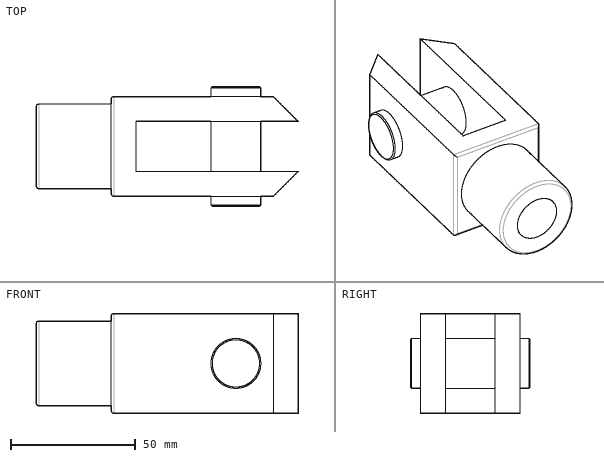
import cadquery as cq

length = 105.0
body_width = 40.0
neck_length = 30.0
neck_diameter = 34.0
bore_diameter = 18.5
slot_width = body_width / 2
slot_start = body_width
pin_diameter = body_width / 2
pin_length = 48.0
pin_x = 2 * body_width
edge_radius = 1.0
pin_chamfer = 0.5

prong_thickness = (body_width - slot_width) / 2


def make_fork_body():
    """Square body with rounded rear edges, slotted along X, with 45 degree bevels on the prong tips."""
    half_width = body_width / 2
    half_slot = slot_width / 2
    bevel_start = length - prong_thickness
    body = (
        cq.Workplane("XY")
        .box(length - neck_length, body_width, body_width, centered=(False, True, True))
        .translate((neck_length, 0, 0))
        .faces("<X")
        .fillet(edge_radius)
    )
    slot = (
        cq.Workplane("XY")
        .box(length - slot_start, slot_width, body_width, centered=(False, True, True))
        .translate((slot_start, 0, 0))
    )
    body = body.cut(slot)
    for side in (-1, 1):
        bevel = (
            cq.Workplane("XY")
            .moveTo(bevel_start, side * half_width)
            .lineTo(length, side * half_width)
            .lineTo(length, side * half_slot)
            .close()
            .extrude(half_width, both=True)
        )
        body = body.cut(bevel)
    return body


def make_neck():
    """Round neck with a rounded free end."""
    return (
        cq.Workplane("YZ")
        .circle(neck_diameter / 2)
        .extrude(neck_length)
        .faces("<X")
        .fillet(edge_radius)
    )


def make_bore():
    """Axial hole through the neck, opening into the slot."""
    return cq.Workplane("YZ").circle(bore_diameter / 2).extrude(slot_start)


def make_pin():
    """Cross pin through both prongs, chamfered at each end."""
    return (
        cq.Workplane("XZ", origin=(pin_x, pin_length / 2, 0))
        .circle(pin_diameter / 2)
        .extrude(pin_length)
        .faces("<Y or >Y")
        .chamfer(pin_chamfer)
    )


result = make_fork_body().union(make_neck()).cut(make_bore()).union(make_pin())